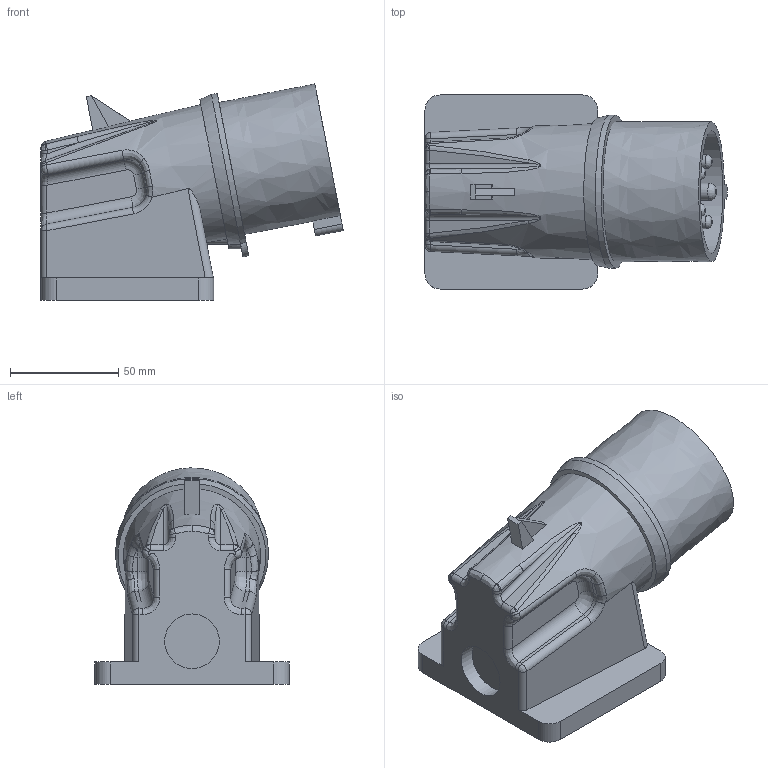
import cadquery as cq
import math

TILT = 11.0
MOUTH_X = 132.15
MOUTH_Z = 69.28

PLATE_LENGTH = 79.6
PLATE_WIDTH = 89.5
PLATE_HEIGHT = 10.2
PLATE_CORNER = 7.0

REAR_HALF_WIDTH = 27.3
FRONT_HALF_WIDTH = 31.3
PEDESTAL_FRONT = -63.0
PEDESTAL_TOP = -3.0
PEDESTAL_FILLET = 3.5

NECK_FRONT = -53.4
NECK_FRONT_RADIUS = 31.7
NECK_LENGTH = 95.0
NECK_TAPER = 2.35

REAR_FILLET = 2.9
ENTRY_DIAMETER = 25.2
ENTRY_HEIGHT = 19.75
ENTRY_DEPTH = 7.0

POCKET_FLOOR = 17.6
POCKET_BOTTOM = 34.5
POCKET_TOP = 57.5
POCKET_FRONT_X = 49.2
POCKET_OPENING = 30.0
POCKET_CORNER = 8.0
POCKET_FLOOR_FILLET = 5.0
POCKET_RIM_FILLET = 3.0

GROOVE_WALL = 10.5
GROOVE_FLOOR = 63.6
GROOVE_SLOPE = 19.6
GROOVE_LENGTH = 80.0
GROOVE_REACH = 40.0
GROOVE_ROOT_FILLET = 2.7
GROOVE_RIM_FILLET = 3.0

CATCH_WIDTH = 6.9
CATCH_RIB_WIDTH = 3.1
CATCH_BACK = -104.5
CATCH_TOP = 45.3
CATCH_TIP_THICKNESS = 2.3
CATCH_PLATE_FOOT = -97.3
CATCH_RIB_FOOT = -86.5
CATCH_FOOT = 30.2
CATCH_SINK = 3.0

KEEL_RADIUS = 4.0
KEEL_BOTTOM = 25.8

BARREL_HALF_WIDTH = 32.3
BARREL_HALF_HEIGHT = 31.0
BARREL_WALL = 4.0
SOCKET_DEPTH = 42.0
COLLAR_BACK_RADIUS = 34.1
COLLAR_RADIUS = 35.3
COLLAR_SHOULDER = -47.7
COLLAR_FRONT = -45.0
LUG_RADIUS = 4.0
LUG_BOTTOM = 23.6
TAB_REACH = 41.0
TAB_RADIUS = 6.4
KEY_LENGTH = 13.0
KEY_WIDTH = 6.9
KEY_REACH = 37.9
KEY_FILLET = 3.0

PIN_COUNT = 5
PIN_CIRCLE_RADIUS = 14.6
PIN_DIAMETER = 6.2
EARTH_PIN_DIAMETER = 8.0
PIN_TIP = -0.8
PIN_TIP_ROUNDING = 0.75

TINY = 0.1
COS_TILT = math.cos(math.radians(TILT))
NECK_REAR = NECK_FRONT - NECK_LENGTH
NECK_REAR_RADIUS = NECK_FRONT_RADIUS - NECK_LENGTH * math.tan(math.radians(NECK_TAPER))
FLANK_SLOPE = (FRONT_HALF_WIDTH - REAR_HALF_WIDTH) / PLATE_LENGTH
FLANK_ANGLE = math.degrees(math.atan(FLANK_SLOPE))
CLEAR = 300.0


def to_plug_axis(shape):
    """Move a shape drawn in the plug frame to its place on the part."""
    return shape.rotate((0, 0, 0), (0, 1, 0), -TILT).translate((MOUTH_X, 0, MOUTH_Z))


def revolve_profile(points):
    """Turn an (along axis, radius) outline about the plug axis."""
    return to_plug_axis(cq.Workplane("XZ").polyline(points).close().revolve(360, (0, 0, 0), (1, 0, 0)))


def plug_slab(x_start, x_end):
    """Block square to the plug axis, between two places along it."""
    slab = cq.Workplane("XY").box(x_end - x_start, CLEAR, CLEAR, centered=(False, True, True))
    return to_plug_axis(slab.translate((x_start, 0, 0)))


def neck():
    return revolve_profile([
        (NECK_REAR, 0), (NECK_REAR, NECK_REAR_RADIUS), (NECK_FRONT, NECK_FRONT_RADIUS), (NECK_FRONT, 0)])


def pedestal():
    plan = (
        cq.Workplane("XY", origin=(0, 0, PLATE_HEIGHT))
        .polyline([
            (0, -REAR_HALF_WIDTH), (PLATE_LENGTH, -FRONT_HALF_WIDTH),
            (PLATE_LENGTH, FRONT_HALF_WIDTH), (0, REAR_HALF_WIDTH)])
        .close().extrude(MOUTH_Z - PLATE_HEIGHT))
    behind_and_below = to_plug_axis(
        cq.Workplane("XY").box(CLEAR, CLEAR, CLEAR)
        .translate((PEDESTAL_FRONT - CLEAR / 2, 0, PEDESTAL_TOP - CLEAR / 2)))
    return plan.intersect(behind_and_below).faces(">X").edges("not |Y").fillet(PEDESTAL_FILLET)


def keel():
    rod = cq.Workplane("YZ").center(0, KEEL_BOTTOM + KEEL_RADIUS).circle(KEEL_RADIUS).extrude(PLATE_LENGTH * 2)
    return rod.intersect(plug_slab(PEDESTAL_FRONT - PEDESTAL_FILLET, NECK_FRONT))


def grip_pocket():
    length = POCKET_FRONT_X / COS_TILT
    height = (POCKET_TOP - POCKET_BOTTOM) * COS_TILT
    overrun = height
    return (
        cq.Workplane("XY")
        .box(length + overrun, POCKET_OPENING, height, centered=(False, False, True))
        .edges("|Y and >X").fillet(POCKET_CORNER)
        .faces("<Y").edges("not <X").fillet(POCKET_FLOOR_FILLET)
        .translate((-overrun, POCKET_FLOOR, 0))
        .rotate((0, 0, 0), (0, 0, 1), FLANK_ANGLE)
        .rotate((0, 0, 0), (0, 1, 0), -TILT)
        .translate((0, 0, (POCKET_TOP + POCKET_BOTTOM) / 2)))


def shoulder_groove():
    overrun = GROOVE_LENGTH / 4
    return (
        cq.Workplane("XY").box(GROOVE_LENGTH + overrun, GROOVE_REACH, GROOVE_REACH, centered=False)
        .edges("<Y and <Z").fillet(GROOVE_ROOT_FILLET)
        .translate((-overrun, GROOVE_WALL, 0))
        .rotate((0, 0, 0), (0, 1, 0), -GROOVE_SLOPE)
        .translate((0, 0, GROOVE_FLOOR)))


def is_pocket_rim(edge):
    """Edge at the front of a pocket mouth; the rest of the rim follows by tangency."""
    spot = edge.Center()
    deepest = REAR_HALF_WIDTH + FLANK_SLOPE * spot.x - edge.BoundingBox().ymin
    at_front = POCKET_FRONT_X * 0.6 < spot.x < POCKET_FRONT_X * 1.04
    return at_front and deepest < POCKET_RIM_FILLET and spot.z > POCKET_BOTTOM


def is_rear_edge(edge):
    """Edge of the rear face, other than its foot and the cut along the middle plane."""
    box = edge.BoundingBox()
    return box.xmax < TINY and box.ymax > TINY and box.zmax > PLATE_HEIGHT + TINY


def is_groove_rim(edge):
    """Curved edge where a shoulder groove breaks out of the neck."""
    spot = edge.Center()
    on_groove = spot.z > GROOVE_FLOOR + REAR_FILLET and spot.y > GROOVE_WALL / 2
    return spot.x > REAR_FILLET * 2 and on_groove and edge.geomType() != "LINE"


def fillet_where(body, test, radius):
    solid = body.solids().val()
    return cq.Workplane(solid.fillet(radius, [edge for edge in solid.Edges() if test(edge)]))


def half_shell():
    """The +Y half of neck and pedestal, with its pocket, its groove and all their fillets."""
    quarter_space = cq.Workplane("XY").box(CLEAR, CLEAR, CLEAR, centered=False)
    half = neck().union(pedestal()).intersect(quarter_space)
    half = half.cut(grip_pocket()).cut(shoulder_groove())
    half = fillet_where(half, is_pocket_rim, POCKET_RIM_FILLET)
    half = fillet_where(half, is_rear_edge, REAR_FILLET)
    return fillet_where(half, is_groove_rim, GROOVE_RIM_FILLET)


def base_plate():
    return (
        cq.Workplane("XY").box(PLATE_LENGTH, PLATE_WIDTH, PLATE_HEIGHT, centered=(False, True, False))
        .edges("|Z").fillet(PLATE_CORNER))


def plug_prism(points, width):
    """Side outline in the plug frame, thickened evenly about the middle plane."""
    return to_plug_axis(cq.Workplane("XZ").polyline(points).close().extrude(width / 2, both=True))


def lid_catch():
    sunk = CATCH_FOOT - CATCH_SINK
    tip_front = (CATCH_BACK + CATCH_TIP_THICKNESS, CATCH_TOP)
    plate = plug_prism([
        (CATCH_BACK, sunk), (CATCH_BACK, CATCH_TOP), tip_front,
        (CATCH_PLATE_FOOT, CATCH_FOOT), (CATCH_PLATE_FOOT, sunk)], CATCH_WIDTH)
    rib = plug_prism([
        (CATCH_BACK, sunk), tip_front,
        (CATCH_RIB_FOOT, CATCH_FOOT), (CATCH_RIB_FOOT, sunk)], CATCH_RIB_WIDTH)
    return plate.union(rib)


def cable_entry():
    return cq.Workplane("YZ").center(0, ENTRY_HEIGHT).circle(ENTRY_DIAMETER / 2).extrude(ENTRY_DEPTH)


def make_housing():
    half = half_shell()
    shell = half.union(half.mirror("XZ"))
    return shell.union(base_plate()).union(lid_catch()).union(keel()).cut(cable_entry())


def collar():
    return revolve_profile([
        (NECK_FRONT, 0), (NECK_FRONT, COLLAR_BACK_RADIUS), (COLLAR_SHOULDER, COLLAR_RADIUS),
        (COLLAR_FRONT, COLLAR_RADIUS), (COLLAR_FRONT, 0)])


def plug_cylinder(half_width, half_height, length):
    """Elliptic cylinder on the plug axis, reaching back from the barrel mouth."""
    return to_plug_axis(cq.Workplane("YZ").ellipse(half_width, half_height).extrude(-length))


def hinge_lug():
    rod = (
        cq.Workplane("YZ").center(0, LUG_BOTTOM + LUG_RADIUS).circle(LUG_RADIUS)
        .extrude(MOUTH_X))
    return rod.intersect(plug_slab(NECK_FRONT, COLLAR_SHOULDER))


def hinge_tab():
    return to_plug_axis(
        cq.Workplane("YZ", origin=(COLLAR_SHOULDER, 0, TAB_RADIUS - TAB_REACH))
        .circle(TAB_RADIUS).extrude(COLLAR_FRONT - COLLAR_SHOULDER))


def polarising_key():
    root = BARREL_HALF_HEIGHT - BARREL_WALL / 2
    return to_plug_axis(
        cq.Workplane("XY").box(KEY_LENGTH, KEY_WIDTH, KEY_REACH - root, centered=(False, True, False))
        .edges("|X and <Z").fillet(KEY_FILLET)
        .translate((-KEY_LENGTH, 0, -KEY_REACH)))


def pin(index):
    """Round-tipped contact; number 0 is the thicker earth pin at the bottom of the circle."""
    radius = (EARTH_PIN_DIAMETER if index == 0 else PIN_DIAMETER) / 2
    angle = 2 * math.pi * index / PIN_COUNT
    foot = (-SOCKET_DEPTH, PIN_CIRCLE_RADIUS * math.sin(angle), -PIN_CIRCLE_RADIUS * math.cos(angle))
    return to_plug_axis(
        cq.Workplane("YZ", origin=foot).circle(radius).extrude(SOCKET_DEPTH + PIN_TIP)
        .faces(">X").edges().fillet(radius * PIN_TIP_ROUNDING))


def make_insert():
    barrel = plug_cylinder(BARREL_HALF_WIDTH, BARREL_HALF_HEIGHT, -COLLAR_FRONT)
    socket = plug_cylinder(BARREL_HALF_WIDTH - BARREL_WALL, BARREL_HALF_HEIGHT - BARREL_WALL, SOCKET_DEPTH)
    insert = collar().union(barrel).cut(socket)
    for feature in (hinge_lug(), hinge_tab(), polarising_key()):
        insert = insert.union(feature)
    for index in range(PIN_COUNT):
        insert = insert.union(pin(index))
    return insert


housing = make_housing()
insert = make_insert()
result = cq.Compound.makeCompound([housing.val(), insert.val()])